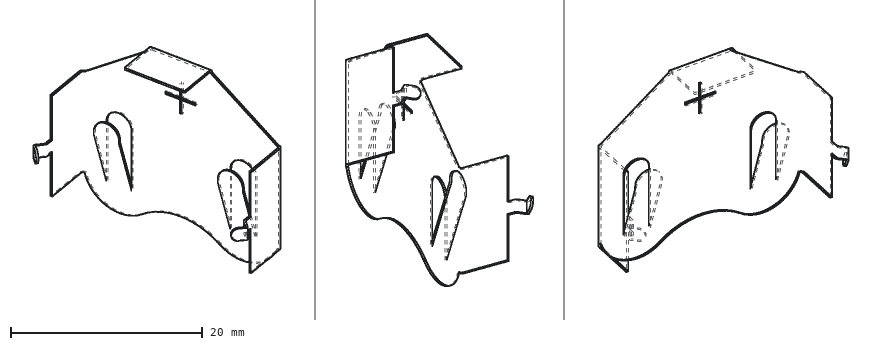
import cadquery as cq
import math


thickness = 0.25
bend_inner = 0.25
bend_outer = bend_inner + thickness

half_width = 13.5
height = 22.62
depth = 8.95

wall_x = 12.7
wall_bottom = 3.43
wall_top = 16.15
wall_depth = 5.8
wall_mid_z = (wall_bottom + wall_top) / 2

flange_half_width = 3.8
flange_depth = 5.08

lobe_x = 7.73
lobe_radius = 4.62
scallop_top = 2.57

tab_width = 1.55
tab_apex_y = -7.67
tab_angle = math.radians(45)

finger_x = 7.84
finger_width = 3.2
finger_bottom = wall_bottom
finger_bend_z = 10.7
finger_top = 12.6
finger_rise = 2.32

plus_z = 17.43
plus_length = 3.8
plus_slot = 0.25
plus_shift = 0.05


def make_plate():
    """Flat back plate, ending where the wall and flange bends begin."""
    edge_x = wall_x - bend_outer
    top_z = height - bend_outer

    drop = lobe_radius - scallop_top
    scallop_radius = (lobe_x**2 + drop**2 - lobe_radius**2) / (2 * (lobe_radius - drop))
    scallop_z = scallop_top - scallop_radius
    share = scallop_radius / (scallop_radius + lobe_radius)
    tangent_x = lobe_x * share
    tangent_z = scallop_z + (lobe_radius - scallop_z) * share

    return (
        cq.Workplane("XZ")
        .moveTo(-flange_half_width, top_z)
        .lineTo(flange_half_width, top_z)
        .lineTo(edge_x, wall_top)
        .lineTo(edge_x, wall_bottom)
        .threePointArc((lobe_x, 0), (tangent_x, tangent_z))
        .threePointArc((0, scallop_top), (-tangent_x, tangent_z))
        .threePointArc((-lobe_x, 0), (-edge_x, wall_bottom))
        .lineTo(-edge_x, wall_top)
        .close()
        .extrude(thickness)
    )


def bent_flange(plane, outer, length):
    """Profile of a 90 degree bend off the plate with a straight leg, in (out, Y)."""
    inner = outer - thickness
    bend_start = outer - bend_outer
    diagonal = math.sqrt(0.5)
    outer_mid = (bend_start + bend_outer * diagonal, -bend_outer + bend_outer * diagonal)
    inner_mid = (bend_start + bend_inner * diagonal, -bend_outer + bend_inner * diagonal)
    return (
        plane.moveTo(bend_start, 0)
        .threePointArc(outer_mid, (outer, -bend_outer))
        .lineTo(outer, -length)
        .lineTo(inner, -length)
        .lineTo(inner, -bend_outer)
        .threePointArc(inner_mid, (bend_start, -thickness))
        .close()
    )


def make_top_flange():
    plane = cq.Workplane(cq.Plane((-flange_half_width, 0, 0), xDir=(0, 0, 1), normal=(-1, 0, 0)))
    return bent_flange(plane, height, flange_depth).extrude(-2 * flange_half_width)


def make_wall():
    plane = cq.Workplane("XY", origin=(0, 0, wall_bottom))
    return bent_flange(plane, wall_x, wall_depth).extrude(wall_top - wall_bottom)


def make_tab():
    """Snap tab: leaves the wall straight, kinks outwards, then folds back inwards."""
    sin_a = math.sin(tab_angle)
    cos_a = math.cos(tab_angle)
    sin_half = math.sin(tab_angle / 2)
    cos_half = math.cos(tab_angle / 2)

    fold_x = half_width - thickness
    fold_y = tab_apex_y
    fold_out = (fold_x + thickness * cos_a, fold_y + thickness * sin_a)
    fold_back = (fold_x + thickness * cos_a, fold_y - thickness * sin_a)

    kink_x = wall_x + bend_inner
    kink_end_x = kink_x - bend_inner * cos_a
    kink_end_y = fold_out[1] + (fold_out[0] - kink_end_x) * cos_a / sin_a
    kink_y = kink_end_y + bend_inner * sin_a

    def on_kink(radius, cos_value, sin_value):
        return (kink_x - radius * cos_value, kink_y - radius * sin_value)

    leg = (
        cq.Workplane("XY", origin=(0, 0, wall_mid_z - tab_width / 2))
        .moveTo(wall_x, -wall_depth)
        .lineTo(wall_x, kink_y)
        .threePointArc(on_kink(bend_inner, cos_half, sin_half), (kink_end_x, kink_end_y))
        .lineTo(*fold_out)
        .threePointArc((half_width, fold_y), fold_back)
        .lineTo(fold_x, fold_y)
        .lineTo(*on_kink(bend_outer, cos_a, sin_a))
        .threePointArc(on_kink(bend_outer, cos_half, sin_half), (wall_x - thickness, kink_y))
        .lineTo(wall_x - thickness, -wall_depth)
        .close()
        .extrude(tab_width)
    )

    arm_length = (depth + fold_back[1]) / cos_a
    tip_radius = tab_width / 2
    arm_plane = cq.Plane(
        (fold_back[0], fold_back[1], wall_mid_z),
        xDir=(-sin_a, -cos_a, 0),
        normal=(cos_a, -sin_a, 0),
    )
    arm = (
        cq.Workplane(arm_plane)
        .moveTo(0, -tip_radius)
        .lineTo(arm_length - tip_radius, -tip_radius)
        .threePointArc((arm_length, 0), (arm_length - tip_radius, tip_radius))
        .lineTo(0, tip_radius)
        .close()
        .extrude(-thickness)
    )
    return leg.union(arm)


def finger_outline(length):
    """Prism with the finger's round-topped outline, from the plate's back towards -Y."""
    radius = finger_width / 2
    shoulder_z = finger_top - radius
    return (
        cq.Workplane("XZ")
        .moveTo(finger_x - radius, finger_bottom)
        .lineTo(finger_x + radius, finger_bottom)
        .lineTo(finger_x + radius, shoulder_z)
        .threePointArc((finger_x, finger_top), (finger_x - radius, shoulder_z))
        .close()
        .extrude(length)
    )


def make_finger():
    """Spring finger lifted out of the plate: a ramp, then a flat contact pad."""
    run = finger_bend_z - finger_bottom
    lift = finger_rise - thickness
    ramp_angle = math.atan2(lift, run) + math.asin(thickness / math.hypot(lift, run))
    ramp_back_z = finger_bend_z - finger_rise / math.tan(ramp_angle)

    def on_bend(angle):
        return (
            -finger_rise - thickness * math.cos(angle),
            finger_bend_z - thickness * math.sin(angle),
        )

    strip = (
        cq.Workplane("YZ", origin=(finger_x - finger_width / 2, 0, 0))
        .moveTo(0, finger_bottom)
        .lineTo(0, ramp_back_z)
        .lineTo(-finger_rise, finger_bend_z)
        .lineTo(-finger_rise, finger_top)
        .lineTo(-finger_rise - thickness, finger_top)
        .lineTo(*on_bend(0))
        .threePointArc(on_bend(ramp_angle / 2), on_bend(ramp_angle))
        .lineTo(-thickness, finger_bottom)
        .close()
        .extrude(finger_width)
    )
    return strip.intersect(finger_outline(finger_rise + thickness))


def make_plus():
    slot = cq.Workplane("XZ", origin=(0, 0, plus_z))
    upright = slot.center(0, plus_shift).rect(plus_slot, plus_length).extrude(thickness)
    bar = slot.center(-plus_shift, 0).rect(plus_length, plus_slot).extrude(thickness)
    return upright.union(bar)


def both_sides(body):
    return body.union(body.mirror("YZ"))


plate = make_plate().cut(both_sides(finger_outline(thickness))).cut(make_plus())
side_parts = make_wall().union(make_tab())
result = (
    plate.union(make_top_flange())
    .union(both_sides(side_parts))
    .union(both_sides(make_finger()))
)